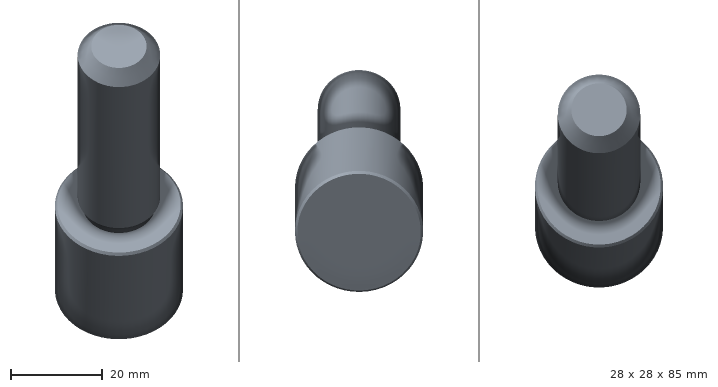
import cadquery as cq

total_length = 85.0
head_diameter = 28.0
head_height = 30.0
head_chamfer = 0.5
neck_diameter = 16.0
neck_height = 3.0
shank_diameter = 18.0
tip_chamfer = 3.0

shank_bottom = head_height + neck_height
shank_length = total_length - shank_bottom


def cylinder(diameter, height, bottom):
    """Upright cylinder centred on the Z axis."""
    return cq.Workplane("XY").workplane(offset=bottom).circle(diameter / 2).extrude(height)


head = cylinder(head_diameter, head_height, 0).edges().chamfer(head_chamfer)

neck = cylinder(neck_diameter, neck_height, head_height)

shank = cylinder(shank_diameter, shank_length, shank_bottom).faces(">Z").edges().chamfer(tip_chamfer)

result = head.union(neck).union(shank)